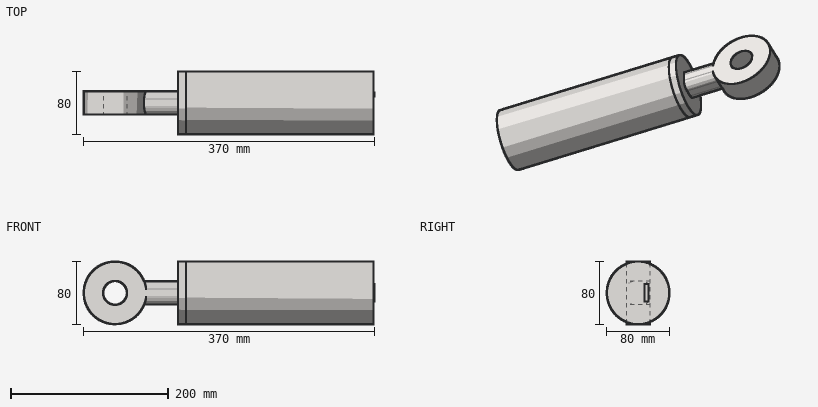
import cadquery as cq

overall_length = 370.0
body_diameter = 80.0
rod_width = 30.0
eye_bore_diameter = 30.0
rod_corner_radius = 10.0
rod_exposed_length = 40.0
cap_thickness = 10.0

pad_height = 1.0
pad_width = 5.5
pad_length = 22.2
pad_offset = 10.7

eye_radius = body_diameter / 2
rod_start = (eye_bore_diameter / 2 + eye_radius) / 2
cap_start = eye_radius + rod_exposed_length
cylinder_start = cap_start + cap_thickness
cylinder_end = overall_length - eye_radius - pad_height


def disc_along_x(start, end):
    """Round length of the full body diameter between two X stations."""
    return cq.Workplane("YZ", origin=(start, 0, 0)).circle(eye_radius).extrude(end - start)


def disc_along_y(diameter):
    """Disc as thick as the rod, centred on the origin."""
    return cq.Workplane("XZ", origin=(0, rod_width / 2, 0)).circle(diameter / 2).extrude(rod_width)


def make_rod():
    """Square rod with rounded corners, running from inside the eye to the cap."""
    blank = cq.Workplane("YZ", origin=(rod_start, 0, 0)).rect(rod_width, rod_width)
    return blank.extrude(cap_start - rod_start).edges("|X").fillet(rod_corner_radius)


def make_rod_end():
    """Eye, rod and cap in one piece."""
    eye = disc_along_y(body_diameter)
    cap = disc_along_x(cap_start, cylinder_start)
    bore = disc_along_y(eye_bore_diameter)
    return eye.union(make_rod()).union(cap).cut(bore)


def make_cylinder():
    """Solid cylinder seated against the cap, with a raised pad on its end."""
    barrel = disc_along_x(cylinder_start, cylinder_end)
    pad = (
        cq.Workplane("YZ", origin=(cylinder_end, 0, 0))
        .center(pad_offset, 0)
        .rect(pad_width, pad_length)
        .extrude(pad_height)
    )
    return barrel.union(pad)


rod_end = make_rod_end()
cylinder = make_cylinder()

result = cq.Compound.makeCompound([rod_end.solids().val(), cylinder.solids().val()])